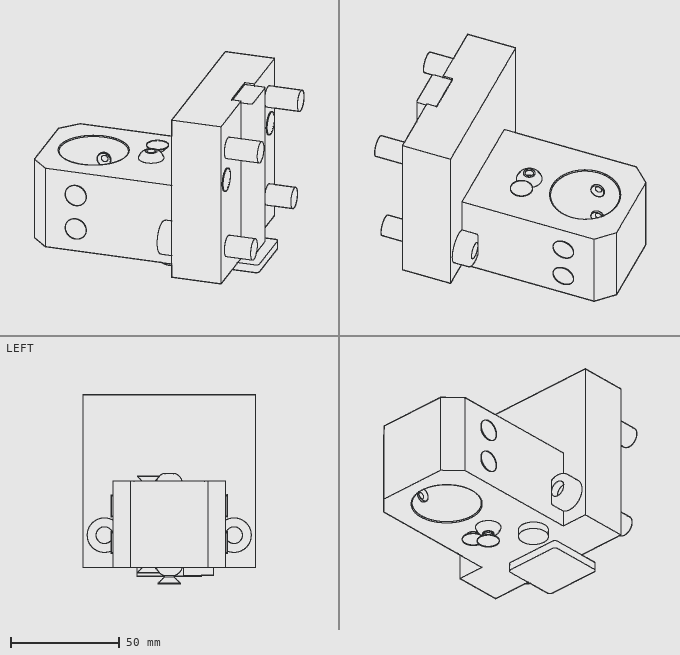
import cadquery as cq

plate_size = 80.0
plate_front_x = 74.0
plate_back_x = 98.0

arm_width = 52.0
arm_height = 40.0
arm_corner_chamfer = 8.0

bore_x = 23.0
bore_diameter = 32.0
bore_radius = bore_diameter / 2
bore_chamfer = 0.5

key_width = 20.0
slot_floor_x = 93.3
key_back_x = 103.4
key_end_gap = 0.9
key_edge_radius = 1.0

lug_front_x = 80.0
lug_back_x = 108.1
lug_width = 30.0
lug_thickness = 4.0
lug_corner_radius = 1.7

bolt_y = 30.0
bolt_radius = 5.0
upper_bolt_z = 65.0
upper_bolt_end_x = 114.0
lower_bolt_z = 15.0
lower_bolt_end_x = 110.8
bolt_head_radius = 8.0
bolt_head_height = 8.0
bolt_head_round = 0.9
bolt_socket_radius = 3.9
bolt_socket_depth = 4.0
bolt_socket_tip = 2.4

pad_y = 32.8
pad_z = 50.0
pad_radius = 5.5
pad_height = 0.5

screw_head_radius = 5.1
screw_rim = 0.3
screw_shank_radius = 2.3
screw_cone = screw_head_radius - screw_shank_radius
screw_head_height = screw_rim + screw_cone

clamp_screw_heights = (11.6, 28.6)
clamp_screw_rise = 1.0
clamp_tip_radius = 3.3
clamp_tip_y = 14.9
clamp_cup_mouth_radius = 3.2
clamp_cup_floor_radius = 1.6
clamp_cup_depth = 1.4

button_x = 51.0
button_base_radius = 5.9
button_top_radius = 2.7
button_height = 3.5
button_mid_radius = 4.9
button_mid_height = 2.0
button_socket_radius = 1.9
button_socket_depth = 3.0
side_screw_y = 9.6
side_screw_rise = 2.5
hanging_screw_drop = 7.5

foot_x = 67.0
foot_y = -13.6
foot_radius = 7.0
foot_height = 3.5


def block(x_min, x_max, width, z_min, z_max):
    """Box centred on y = 0 between the given x and z limits."""
    size = (x_max - x_min, width, z_max - z_min)
    return cq.Workplane("XY").box(*size, centered=(False, True, False)).translate((x_min, 0, z_min))


def rod(start, direction, length, radius):
    """Cylinder that starts at a point and runs along a direction."""
    return cq.Workplane(cq.Plane(start, normal=direction)).circle(radius).extrude(length)


def cone(start, direction, length, start_radius, end_radius):
    """Truncated cone that starts at a point and runs along a direction."""
    return cq.Workplane(obj=cq.Solid.makeCone(
        start_radius, end_radius, length, cq.Vector(*start), cq.Vector(*direction)))


def countersunk_screw(crown, inward, length):
    """Countersunk screw with its flat crown at a point, running inward for a total length."""
    crown_point = cq.Vector(*crown)
    cone_start = crown_point + cq.Vector(*inward) * screw_rim
    rim = rod(crown, inward, screw_rim, screw_head_radius)
    head = cone(cone_start.toTuple(), inward, screw_cone, screw_head_radius, screw_shank_radius)
    return rim.union(head).union(rod(crown, inward, length, screw_shank_radius))


def make_plate():
    plate = block(plate_front_x, plate_back_x, plate_size, 0, plate_size)
    return plate.cut(block(slot_floor_x, plate_back_x, key_width, 0, plate_size))


def make_key():
    key = block(slot_floor_x, key_back_x, key_width, key_end_gap, plate_size - key_end_gap)
    return key.edges("|Z and >X").fillet(key_edge_radius)


def make_lug():
    lug = block(lug_front_x, lug_back_x, lug_width, -lug_thickness, 0)
    return lug.edges("|Z").fillet(lug_corner_radius)


def make_arm():
    arm = block(0, plate_front_x, arm_width, 0, arm_height)
    arm = arm.edges("|Z and <X").chamfer(arm_corner_chamfer)
    bore = rod((bore_x, 0, 0), (0, 0, 1), arm_height, bore_radius)
    arm = arm.cut(bore)
    mouth_radius = bore_radius + bore_chamfer
    for z, inward in ((0, 1), (arm_height, -1)):
        arm = arm.cut(cone((bore_x, 0, z), (0, 0, inward), bore_chamfer, mouth_radius, bore_radius))
    return arm


def make_lower_bolt(y):
    """Cap screw whose head stands on the front of the plate."""
    head = rod((plate_front_x, y, lower_bolt_z), (-1, 0, 0), bolt_head_height, bolt_head_radius)
    head = head.faces("<X").edges().fillet(bolt_head_round)
    shank_length = lower_bolt_end_x - plate_front_x
    return head.union(rod((plate_front_x, y, lower_bolt_z), (1, 0, 0), shank_length, bolt_radius))


def make_bolt_socket(y):
    """Round socket with a conical floor in the head of a cap screw."""
    mouth_x = plate_front_x - bolt_head_height
    inward = (1, 0, 0)
    wall = rod((mouth_x, y, lower_bolt_z), inward, bolt_socket_depth, bolt_socket_radius)
    floor_x = mouth_x + bolt_socket_depth
    return wall.union(cone((floor_x, y, lower_bolt_z), inward, bolt_socket_tip, bolt_socket_radius, 0))


def make_clamp_screw(side, z):
    """Side screw whose tip just enters the bore."""
    crown_y = arm_width / 2 + clamp_screw_rise
    inward = (0, -side, 0)
    screw = countersunk_screw((bore_x, side * crown_y, z), inward, screw_head_height)
    tip_length = arm_width / 2 - clamp_tip_y
    tip = rod((bore_x, side * arm_width / 2, z), inward, tip_length, clamp_tip_radius)
    return screw.union(tip)


def make_clamp_cup(side, z):
    """Tapered cup in the tip of a clamping screw."""
    return cone((bore_x, side * clamp_tip_y, z), (0, side, 0), clamp_cup_depth,
                clamp_cup_mouth_radius, clamp_cup_floor_radius)


def make_button():
    """Domed button standing on z = 0 with a round socket in its crown."""
    dome = (
        cq.Workplane("XZ")
        .lineTo(button_base_radius, 0)
        .threePointArc((button_mid_radius, button_mid_height), (button_top_radius, button_height))
        .lineTo(0, button_height)
        .close()
        .revolve(360, (0, 0, 0), (0, 1, 0))
    )
    socket = rod((0, 0, button_height), (0, 0, -1), button_socket_depth, button_socket_radius)
    return dome.cut(socket)


result = make_arm().union(make_plate()).union(make_key()).union(make_lug())

for side in (-1, 1):
    y = side * bolt_y
    upper_length = upper_bolt_end_x - plate_front_x
    result = result.union(rod((plate_front_x, y, upper_bolt_z), (1, 0, 0), upper_length, bolt_radius))
    result = result.union(make_lower_bolt(y)).cut(make_bolt_socket(y))
    result = result.union(rod((plate_back_x, side * pad_y, pad_z), (1, 0, 0), pad_height, pad_radius))
    for z in clamp_screw_heights:
        result = result.union(make_clamp_screw(side, z)).cut(make_clamp_cup(side, z))

button = make_button()
result = result.union(button.translate((button_x, 0, arm_height)))
result = result.union(button.mirror("XY").translate((button_x, 0, 0)))

side_screw_top = (button_x, side_screw_y, arm_height + side_screw_rise)
side_screw_bottom = (button_x, side_screw_y, -side_screw_rise)
hanging_screw_crown = (button_x, 0, -hanging_screw_drop)
result = result.union(countersunk_screw(side_screw_top, (0, 0, -1), screw_head_height))
result = result.union(countersunk_screw(side_screw_bottom, (0, 0, 1), screw_head_height))
result = result.union(countersunk_screw(hanging_screw_crown, (0, 0, 1), hanging_screw_drop))

result = result.union(rod((foot_x, foot_y, 0), (0, 0, -1), foot_height, foot_radius))